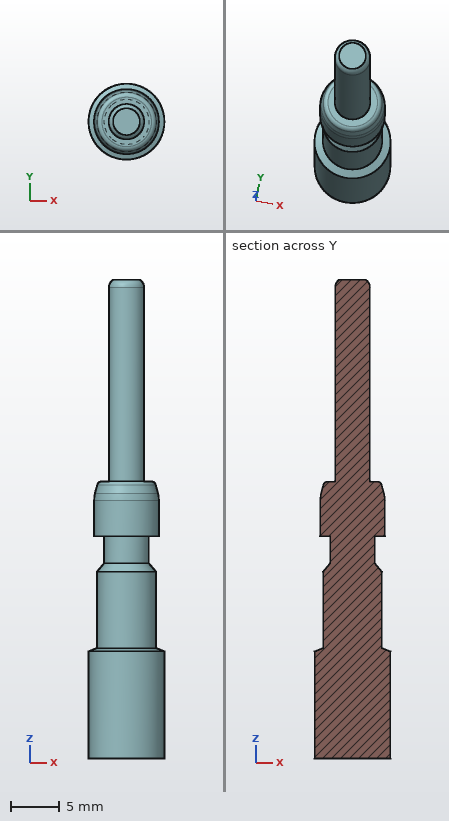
import cadquery as cq
import math

total_length = 49.7
base_edge_z = 11.15
base_top_z = 11.5
body_edge_z = 19.4
body_top_z = 20.3
collar_bottom_z = 23.05
collar_blend_z = 26.8
collar_top_z = 28.8

base_radius = 7.9 / 2
body_radius = 3.1
neck_radius = 2.35
collar_radius = 3.4
pin_radius = 1.85

taper_angle = math.radians(15)
collar_blend_radius = 2.9
collar_rim_radius = 0.5

tip_height = 0.8
tip_inset = 0.45


def arc_point(center, radius, angle):
    """Point of an arc in the radius-height plane, angle measured from horizontal."""
    r, z = center
    return (r + radius * math.cos(angle), z + radius * math.sin(angle))


blend_center = (collar_radius - collar_blend_radius, collar_blend_z)
blend_mid = arc_point(blend_center, collar_blend_radius, taper_angle / 2)
taper_start = arc_point(blend_center, collar_blend_radius, taper_angle)

rim_center_z = collar_top_z - collar_rim_radius
taper_end_z = rim_center_z + collar_rim_radius * math.sin(taper_angle)
taper_end_r = taper_start[0] - (taper_end_z - taper_start[1]) * math.tan(taper_angle)
rim_center = (taper_end_r - collar_rim_radius * math.cos(taper_angle), rim_center_z)
rim_mid = arc_point(rim_center, collar_rim_radius, (taper_angle + math.pi / 2) / 2)
rim_end = (rim_center[0], collar_top_z)

tip_arc_radius = (tip_height**2 + tip_inset**2) / (2 * tip_inset)
tip_start_z = total_length - tip_height
tip_center = (pin_radius - tip_arc_radius, tip_start_z)
tip_angle = math.asin(tip_height / tip_arc_radius)
tip_mid = arc_point(tip_center, tip_arc_radius, tip_angle / 2)
tip_end = (pin_radius - tip_inset, total_length)

profile = (
    cq.Workplane("XZ")
    .moveTo(0, 0)
    .lineTo(base_radius, 0)
    .lineTo(base_radius, base_edge_z)
    .lineTo(body_radius, base_top_z)
    .lineTo(body_radius, body_edge_z)
    .lineTo(neck_radius, body_top_z)
    .lineTo(neck_radius, collar_bottom_z)
    .lineTo(collar_radius, collar_bottom_z)
    .lineTo(collar_radius, collar_blend_z)
    .threePointArc(blend_mid, taper_start)
    .lineTo(taper_end_r, taper_end_z)
    .threePointArc(rim_mid, rim_end)
    .lineTo(pin_radius, collar_top_z)
    .lineTo(pin_radius, tip_start_z)
    .threePointArc(tip_mid, tip_end)
    .lineTo(0, total_length)
    .close()
)

result = profile.revolve(360, (0, 0, 0), (0, 1, 0))